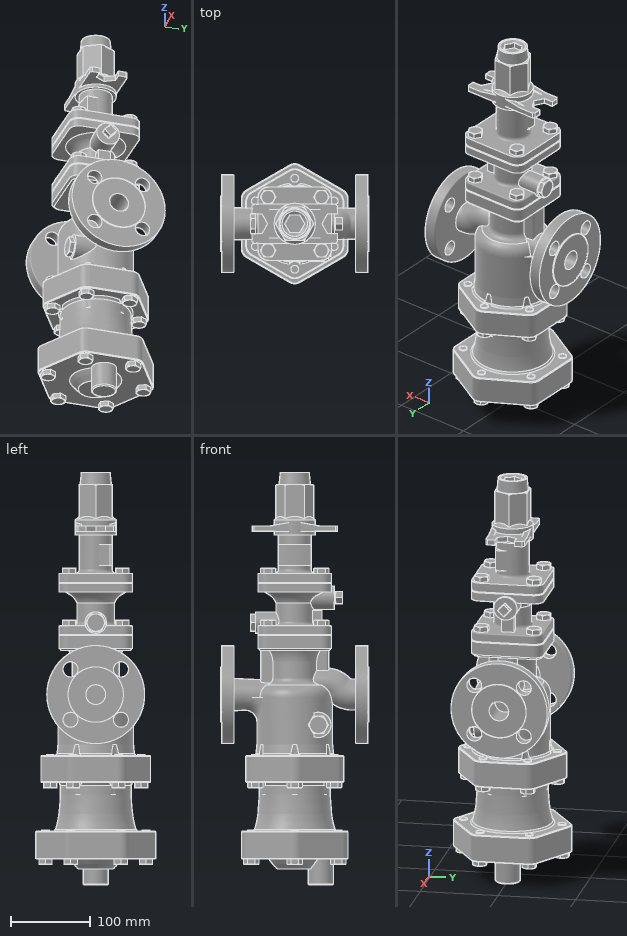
import cadquery as cq
import math


cap_top_z = 281.0
cap_hex_top_z = 265.5
cap_top_diameter = 37.0
cap_base_diameter = 40.0
cap_hex_flats = 42.0
cap_hex_chamfer_diameter = 46.0
cap_hex_chamfer_height = 1.2
socket_flats = 22.0
socket_depth = 10.0
socket_mouth_diameter = 32.0
socket_mouth_depth = 3.0
collar_diameter = 52.0
collar_top_z = 220.7
collar_bottom_z = 201.7
collar_cone_height = 4.5

wrench_length = 108.0
wrench_width = 49.6
wrench_bottom_z = 206.3
wrench_thickness = 6.9
wrench_corner_chamfer = 2.5
jaw_flats = 25.0
jaw_parallel_depth = 12.5
wrench_rib_width = 7.0
wrench_rib_reach = 32.0
wrench_rib_rise = 5.5

stem_diameter = 42.0
plate_half_width = 20.5
plate_side_depth = 18.0
plate_bottom_z = 163.2
plate_top_z = 189.5

square_side = 93.0
square_corner_radius = 13.0
square_bolt_pitch = 67.5
gasket_thickness = 1.2
gasket_inset = 0.4
upper_square_top_z = 153.2
upper_square_joint_z = 141.0
upper_square_bottom_z = 129.5
lower_square_top_z = 87.3
lower_square_joint_z = 75.5
lower_square_bottom_z = 55.5
lower_square_top_fillet = 2.0
lower_square_bottom_chamfer = 3.0
stem_fillet = 5.0

bolt_flats = 17.0
bolt_head_height = 6.8
hex_face_chamfer = 0.8

pilot_neck_radius = 24.0
pilot_neck_top_z = 115.8
pilot_neck_bottom_z = 92.2
pilot_lip_radius = 38.0
pilot_ring_radius = 62.07 / 2
pilot_ring_z = 125.2
pilot_flare_mid_radius = 25.8
pilot_flare_mid_z = 119.5
high_port_z = 122.5
high_port_diameter = 30.0
high_port_end_x = 50.0
high_plug_shank_diameter = 10.0
high_plug_square = 11.3
high_plug_start_x = 51.8
high_plug_end_x = 60.5
low_port_z = 91.0
low_port_diameter = 27.0
low_port_end_x = 49.8
hex_plug_flats = 22.0
hex_plug_height = 6.2
pad_end_x = 34.5
pad_width = 16.0
pad_top_z = 106.3

body_radius = 48.0
body_base_radius = 49.3
body_taper_top_z = -63.4
dome_start_z = -3.7
dome_radius = 18.0
dome_end_angle = math.radians(60)
main_neck_radius = 30.0
main_neck_bottom_z = 20.0
main_neck_flare_z = 41.8
main_neck_flare_radius = 34.0
main_neck_flare_mid_radius = 31.1
shoulder_mid_radius = 32.6
shoulder_mid_z = 14.8
column_inner_x = 25.0
column_outer_x = 43.0
column_half_width = 11.5
column_corner_radius = 3.0
column_bottom_z = 8.0
body_plug_x = 29.8
body_plug_z = -38.3
body_plug_boss_diameter = 32.0
body_plug_boss_y = -41.5

face_to_face = 188.0
raised_face_diameter = 70.0
raised_face_height = 1.5
pipe_flange_diameter = 124.0
pipe_flange_thickness = 16.0
pipe_flange_back_fillet = 2.0
pipe_hole_diameter = 19.0
pipe_bolt_circle = 90.0
bore_diameter = 25.0
bore_depth = 40.0
pipe_stub_length = 3.8
pipe_end_radius = 20.5
inlet_centre_radius = 17.0
inlet_fillet = 14.0
outlet_radius = 19.8
outlet_bend_radius = 24.0
outlet_bend_angle = math.radians(45)
flange_face_x = face_to_face / 2 - raised_face_height
flange_back_x = flange_face_x - pipe_flange_thickness
pipe_start_x = flange_back_x - pipe_stub_length

upper_hex_flats = 124.0
upper_hex_corner_radius = 14.0
upper_hex_top_z = -77.0
upper_hex_joint_z = -94.8
upper_hex_bottom_z = -111.0
upper_hex_bolt_radius = 57.5
lower_hex_flats = 135.0
lower_hex_corner_radius = 12.5
lower_hex_top_z = -172.7
lower_hex_joint_z = -190.7
lower_hex_bottom_z = -208.0
lower_hex_bolt_radius = 63.5
hex_edge_chamfer = 1.0
stud_diameter = 10.0
stud_height = 1.3
body_clearance_radius = 9.8
spool_clearance_radius = 12.9
spool_radius = 45.0
spool_head_depth = 3.8
foot_flare = 2.2
spool_clearance_z = -126.6
spool_middle_radius = 46.8
spool_middle_z = -151.0
spool_foot_radius = 51.0
spool_foot_z = -170.3
spool_foot_hollow = 0.5
bowl_radii = (33.0, 28.0, 22.0)
bowl_middle_z = -214.5
bowl_bottom_z = -220.7
drain_x = 33.0
drain_diameter = 32.0
drain_bottom_z = -241.0
drain_chamfer = 1.5

overlap = 3.0


def cylinder(radius, bottom_z, top_z, x=0.0, y=0.0):
    return cq.Workplane("XY", origin=(x, y, bottom_z)).circle(radius).extrude(top_z - bottom_z)


def x_cylinder(radius, start_x, end_x, z=0.0):
    return cq.Workplane("YZ", origin=(start_x, 0, z)).circle(radius).extrude(end_x - start_x)


def hex_prism(flats, bottom_z, top_z):
    """Hexagon along Z with two corners on the X axis."""
    corners = flats / math.cos(math.pi / 6)
    return cq.Workplane("XY", origin=(0, 0, bottom_z)).polygon(6, corners).extrude(top_z - bottom_z)


def hex_head(flats, height):
    """Hexagon standing on Z = 0 with its top corners turned off to a circular face."""
    corner_radius = flats / math.sqrt(3)
    turned = (
        cq.Workplane("XZ")
        .lineTo(corner_radius, 0)
        .lineTo(corner_radius, height - hex_face_chamfer)
        .lineTo(flats / 2, height)
        .lineTo(0, height)
        .close()
        .revolve(360, (0, 0), (0, 1))
    )
    return hex_prism(flats, 0, height).intersect(turned)


def hex_bolt_points(radius):
    """Six bolt centres, one at each corner of a flange with flats facing +X and -X."""
    angles = [math.radians(30 + 60 * i) for i in range(6)]
    return [(radius * math.cos(a), radius * math.sin(a)) for a in angles]


def make_cap():
    collar = (
        cq.Workplane("XZ")
        .moveTo(0, collar_bottom_z)
        .lineTo(collar_diameter / 2, collar_bottom_z)
        .lineTo(collar_diameter / 2, collar_top_z)
        .lineTo(cap_hex_flats / 2, collar_top_z + collar_cone_height)
        .lineTo(0, collar_top_z + collar_cone_height)
        .close()
        .revolve(360, (0, 0), (0, 1))
    )
    hex_corner = cap_hex_flats / math.sqrt(3)
    hex_envelope = (
        cq.Workplane("XZ")
        .moveTo(0, collar_top_z)
        .lineTo(hex_corner, collar_top_z)
        .lineTo(hex_corner, cap_hex_top_z - cap_hex_chamfer_height)
        .lineTo(cap_hex_chamfer_diameter / 2, cap_hex_top_z)
        .lineTo(0, cap_hex_top_z)
        .close()
        .revolve(360, (0, 0), (0, 1))
    )
    hexagon = hex_prism(cap_hex_flats, collar_top_z, cap_hex_top_z).intersect(hex_envelope)
    nose = (
        cq.Workplane("XY", origin=(0, 0, cap_hex_top_z))
        .circle(cap_base_diameter / 2)
        .workplane(offset=cap_top_z - cap_hex_top_z)
        .circle(cap_top_diameter / 2)
        .loft()
    )
    mouth = (
        cq.Workplane("XY", origin=(0, 0, cap_top_z))
        .circle(socket_mouth_diameter / 2)
        .workplane(offset=-socket_mouth_depth)
        .circle(socket_flats / 2)
        .loft()
    )
    socket = hex_prism(socket_flats, cap_top_z - socket_depth, cap_top_z).union(mouth)
    return collar.union(hexagon).union(nose).cut(socket)


def make_wrench():
    """Flat double-ended wrench with V-bottomed jaws and a peaked rib along each side."""
    wrench = (
        cq.Workplane("XY", origin=(0, 0, wrench_bottom_z))
        .rect(wrench_length, wrench_width)
        .extrude(wrench_thickness)
        .edges("|Z")
        .chamfer(wrench_corner_chamfer)
    )
    jaw_half = jaw_flats / 2
    jaw_bottom_x = wrench_length / 2 - jaw_parallel_depth
    jaw_point_x = jaw_bottom_x - jaw_half * math.tan(math.pi / 6)
    jaw = (
        cq.Workplane("XY", origin=(0, 0, wrench_bottom_z))
        .moveTo(wrench_length / 2, -jaw_half)
        .lineTo(jaw_bottom_x, -jaw_half)
        .lineTo(jaw_point_x, 0)
        .lineTo(jaw_bottom_x, jaw_half)
        .lineTo(wrench_length / 2, jaw_half)
        .close()
        .extrude(wrench_thickness)
    )
    wrench = wrench.cut(jaw).cut(jaw.mirror("YZ"))
    wrench_top_z = wrench_bottom_z + wrench_thickness
    rib = (
        cq.Workplane("XZ", origin=(0, -wrench_width / 2 + wrench_rib_width, 0))
        .moveTo(-wrench_rib_reach, wrench_top_z)
        .lineTo(0, wrench_top_z + wrench_rib_rise)
        .lineTo(wrench_rib_reach, wrench_top_z)
        .close()
        .extrude(wrench_rib_width)
    )
    return wrench.union(rib).union(rib.mirror("XZ"))


def make_stem():
    """Round stem flaring into the upper flange, with a curved name plate on its -Y side."""
    radius = stem_diameter / 2
    sag = stem_fillet * (1 - math.sqrt(0.5))
    stem = (
        cq.Workplane("XZ")
        .moveTo(0, upper_square_top_z)
        .lineTo(radius + stem_fillet, upper_square_top_z)
        .threePointArc((radius + sag, upper_square_top_z + sag), (radius, upper_square_top_z + stem_fillet))
        .lineTo(radius, collar_bottom_z)
        .lineTo(0, collar_bottom_z)
        .close()
        .revolve(360, (0, 0), (0, 1))
    )
    plate = (
        cq.Workplane("XY", origin=(0, 0, plate_bottom_z))
        .moveTo(-plate_half_width, 0)
        .lineTo(-plate_half_width, -plate_side_depth)
        .threePointArc((0, -radius), (plate_half_width, -plate_side_depth))
        .lineTo(plate_half_width, 0)
        .close()
        .extrude(plate_top_z - plate_bottom_z)
    )
    return stem.union(plate)


def square_plate(bottom_z, top_z, inset=0.0):
    side = square_side - 2 * inset
    plate = cq.Workplane("XY", origin=(0, 0, bottom_z)).rect(side, side).extrude(top_z - bottom_z)
    return plate.edges("|Z").fillet(square_corner_radius - inset)


def square_joint(upper_plate, lower_plate, joint_z, top_z):
    """Two bolted square plates with a thin gasket between them."""
    gasket = square_plate(joint_z - gasket_thickness / 2, joint_z + gasket_thickness / 2, gasket_inset)
    joint = upper_plate.union(gasket).union(lower_plate)
    half_pitch = square_bolt_pitch / 2
    for x in (-half_pitch, half_pitch):
        for y in (-half_pitch, half_pitch):
            joint = joint.union(hex_head(bolt_flats, bolt_head_height).translate((x, y, top_z)))
    return joint


def make_square_joints():
    half_gap = gasket_thickness / 2
    upper = square_joint(
        square_plate(upper_square_joint_z + half_gap, upper_square_top_z),
        square_plate(upper_square_bottom_z, upper_square_joint_z - half_gap),
        upper_square_joint_z,
        upper_square_top_z,
    )
    lower_cover = square_plate(lower_square_joint_z + half_gap, lower_square_top_z)
    lower_seat = square_plate(lower_square_bottom_z, lower_square_joint_z - half_gap)
    lower = square_joint(
        lower_cover.faces(">Z").edges().fillet(lower_square_top_fillet),
        lower_seat.faces("<Z").edges().chamfer(lower_square_bottom_chamfer),
        lower_square_joint_z,
        lower_square_top_z,
    )
    return upper.union(lower)


def make_pilot_neck():
    foot = pilot_neck_bottom_z - lower_square_top_z
    sag = foot * (1 - math.sqrt(0.5))
    foot_mid = (pilot_neck_radius + sag, lower_square_top_z + sag)
    flare_mid = (pilot_flare_mid_radius, pilot_flare_mid_z)
    return (
        cq.Workplane("XZ")
        .moveTo(0, lower_square_top_z)
        .lineTo(pilot_neck_radius + foot, lower_square_top_z)
        .threePointArc(foot_mid, (pilot_neck_radius, pilot_neck_bottom_z))
        .lineTo(pilot_neck_radius, pilot_neck_top_z)
        .threePointArc(flare_mid, (pilot_ring_radius, pilot_ring_z))
        .lineTo(pilot_lip_radius, upper_square_bottom_z)
        .lineTo(0, upper_square_bottom_z)
        .close()
        .revolve(360, (0, 0), (0, 1))
    )


def make_pilot_ports():
    """High plugged port on +X, low plugged port on -X with a plain block opposite."""
    high = x_cylinder(high_port_diameter / 2, 0, high_port_end_x, high_port_z)
    shank = x_cylinder(high_plug_shank_diameter / 2, high_port_end_x, high_plug_start_x, high_port_z)
    square = (
        cq.Workplane("YZ", origin=(high_plug_start_x, 0, high_port_z))
        .transformed(rotate=(0, 0, 45))
        .rect(high_plug_square, high_plug_square)
        .extrude(high_plug_end_x - high_plug_start_x)
    )
    low = x_cylinder(low_port_diameter / 2, -low_port_end_x, 0, low_port_z)
    plug = hex_head(hex_plug_flats, hex_plug_height).rotate((0, 0, 0), (0, 0, 1), 90)
    plug = plug.rotate((0, 0, 0), (0, 1, 0), -90).translate((-low_port_end_x, 0, low_port_z))
    pad_height = pad_top_z - lower_square_top_z
    pad = (
        cq.Workplane("XY", origin=(pad_end_x / 2, 0, lower_square_top_z))
        .rect(pad_end_x, pad_width)
        .extrude(pad_height)
    )
    return high.union(shank).union(square).union(low).union(plug).union(pad)


def make_body():
    dome_x = body_radius - dome_radius

    def dome_point(angle):
        return (dome_x + dome_radius * math.cos(angle), dome_start_z + dome_radius * math.sin(angle))

    dome_end = dome_point(dome_end_angle)
    neck_start = (main_neck_radius, main_neck_bottom_z)
    shoulder_mid = (shoulder_mid_radius, shoulder_mid_z)
    flare_mid = (main_neck_flare_mid_radius, (main_neck_flare_z + lower_square_bottom_z) / 2)
    body = (
        cq.Workplane("XZ")
        .moveTo(0, upper_hex_top_z)
        .lineTo(body_base_radius + foot_flare, upper_hex_top_z)
        .lineTo(body_base_radius, upper_hex_top_z + foot_flare)
        .lineTo(body_radius, body_taper_top_z)
        .lineTo(body_radius, dome_start_z)
        .threePointArc(dome_point(dome_end_angle / 2), dome_end)
        .threePointArc(shoulder_mid, neck_start)
        .lineTo(main_neck_radius, main_neck_flare_z)
        .threePointArc(flare_mid, (main_neck_flare_radius, lower_square_bottom_z))
        .lineTo(0, lower_square_bottom_z)
        .close()
        .revolve(360, (0, 0), (0, 1))
    )
    for x, y in hex_bolt_points(upper_hex_bolt_radius):
        body = body.cut(cylinder(body_clearance_radius, upper_hex_top_z, body_taper_top_z, x, y))
    return body


def make_columns():
    """Rounded passages on both sides of the main neck, below the lower square flange."""
    column = (
        cq.Workplane("XY", origin=((column_inner_x + column_outer_x) / 2, 0, column_bottom_z))
        .rect(column_outer_x - column_inner_x, 2 * column_half_width)
        .extrude(lower_square_bottom_z - column_bottom_z)
        .edges("|Z and >X")
        .fillet(column_corner_radius)
    )
    return column.union(column.mirror("YZ"))


def make_body_plug():
    boss = (
        cq.Workplane("XZ", origin=(body_plug_x, 0, body_plug_z))
        .circle(body_plug_boss_diameter / 2)
        .extrude(-body_plug_boss_y)
    )
    plug = hex_head(hex_plug_flats, hex_plug_height).rotate((0, 0, 0), (1, 0, 0), 90)
    return boss.union(plug.translate((body_plug_x, body_plug_boss_y, body_plug_z)))


def make_pipe_flange():
    """Outlet flange on +X with a raised face."""
    flange = x_cylinder(pipe_flange_diameter / 2, flange_back_x, flange_face_x)
    flange = flange.faces("<X").edges().fillet(pipe_flange_back_fillet)
    flange = flange.union(x_cylinder(raised_face_diameter / 2, flange_face_x, face_to_face / 2))
    offset = pipe_bolt_circle / 2 * math.sqrt(0.5)
    for y in (-offset, offset):
        for z in (-offset, offset):
            hole = x_cylinder(pipe_hole_diameter / 2, flange_back_x, flange_face_x, z).translate((0, y, 0))
            flange = flange.cut(hole)
    return flange


def make_inlet_pipe():
    """Slightly tapered inlet pipe, blended into the body's cylinder below the dome."""
    pipe = (
        cq.Workplane("YZ", origin=(-pipe_start_x, 0, 0))
        .circle(pipe_end_radius)
        .workplane(offset=pipe_start_x)
        .circle(inlet_centre_radius)
        .loft()
    )
    pipe = pipe.union(x_cylinder(pipe_end_radius, -flange_back_x, -pipe_start_x))
    barrel = cylinder(body_radius, -body_radius, body_radius)
    seam_box = cq.selectors.BoxSelector(
        (-body_radius - overlap, -pipe_end_radius, -pipe_end_radius),
        (-body_radius / 2, pipe_end_radius, pipe_end_radius),
    )
    blend = barrel.union(pipe).edges(seam_box).fillet(inlet_fillet)
    below_dome = cylinder(pipe_start_x, -body_radius, dome_start_z)
    return pipe.union(blend.intersect(below_dome))


def make_outlet_pipe():
    """Outlet pipe that rises from the flange in an S-bend and runs level into the main neck."""
    half_run = outlet_bend_radius * math.sin(outlet_bend_angle)
    half_rise = outlet_bend_radius * (1 - math.cos(outlet_bend_angle))
    quarter_run = outlet_bend_radius * math.sin(outlet_bend_angle / 2)
    quarter_rise = outlet_bend_radius * (1 - math.cos(outlet_bend_angle / 2))
    level_x = pipe_start_x - 2 * half_run
    level_z = 2 * half_rise
    path = (
        cq.Workplane("XZ")
        .moveTo(flange_face_x, 0)
        .lineTo(pipe_start_x, 0)
        .threePointArc((pipe_start_x - quarter_run, quarter_rise), (pipe_start_x - half_run, half_rise))
        .threePointArc((level_x + quarter_run, level_z - quarter_rise), (level_x, level_z))
        .lineTo(0, level_z)
    )
    return cq.Workplane("YZ", origin=(flange_face_x, 0, 0)).circle(outlet_radius).sweep(path)


def hex_plate(flats, corner_radius, bottom_z, top_z):
    """Hexagonal plate with rounded corners and flats facing +X and -X."""
    plate = hex_prism(flats, bottom_z, top_z).rotate((0, 0, 0), (0, 0, 1), 30)
    return plate.edges("|Z").fillet(corner_radius)


def make_hex_joint(flats, corner_radius, top_z, joint_z, bottom_z, bolt_radius):
    """Two hexagonal plates with bolt heads below and stud ends above."""
    upper = hex_plate(flats, corner_radius, joint_z, top_z).faces(">Z").edges().chamfer(hex_edge_chamfer)
    lower = hex_plate(flats, corner_radius, bottom_z, joint_z).faces("<Z").edges().chamfer(hex_edge_chamfer)
    joint = upper.union(lower, clean=False)
    head = hex_head(bolt_flats, bolt_head_height).mirror("XY")
    for x, y in hex_bolt_points(bolt_radius):
        joint = joint.union(head.translate((x, y, bottom_z)), clean=False)
        stud = cylinder(stud_diameter / 2, top_z - overlap, top_z + stud_height, x, y)
        joint = joint.union(stud, clean=False)
    return joint


def make_spool():
    """Flared spool between the two hexagonal flanges."""
    foot_mid = (
        (spool_foot_radius + spool_middle_radius) / 2 - spool_foot_hollow,
        (spool_foot_z + spool_middle_z) / 2,
    )
    spool = (
        cq.Workplane("XZ")
        .moveTo(0, lower_hex_top_z)
        .lineTo(spool_foot_radius + foot_flare, lower_hex_top_z)
        .lineTo(spool_foot_radius, spool_foot_z)
        .threePointArc(foot_mid, (spool_middle_radius, spool_middle_z))
        .lineTo(spool_radius, spool_clearance_z)
        .lineTo(spool_radius, upper_hex_bottom_z - spool_head_depth)
        .lineTo(spool_radius + foot_flare, upper_hex_bottom_z)
        .lineTo(0, upper_hex_bottom_z)
        .close()
        .revolve(360, (0, 0), (0, 1))
    )
    for x, y in hex_bolt_points(upper_hex_bolt_radius):
        spool = spool.cut(cylinder(spool_clearance_radius, spool_clearance_z, upper_hex_bottom_z, x, y))
    return spool


def make_cover():
    """Bowl under the lower flange with the drain pipe beside its centre."""
    top_radius, middle_radius, bottom_radius = bowl_radii
    bowl = (
        cq.Workplane("XZ")
        .moveTo(0, lower_hex_bottom_z)
        .lineTo(top_radius, lower_hex_bottom_z)
        .lineTo(middle_radius, bowl_middle_z)
        .lineTo(bottom_radius, bowl_bottom_z)
        .lineTo(0, bowl_bottom_z)
        .close()
        .revolve(360, (0, 0), (0, 1))
    )
    drain = cylinder(drain_diameter / 2, drain_bottom_z, lower_hex_bottom_z, drain_x)
    return bowl.union(drain.faces("<Z").chamfer(drain_chamfer))


def make_bore():
    return x_cylinder(bore_diameter / 2, face_to_face / 2 - bore_depth, face_to_face / 2)


result = make_body().union(make_inlet_pipe())
flange = make_pipe_flange()
bore = make_bore()
parts = [
    make_columns(),
    make_body_plug(),
    make_outlet_pipe(),
    flange,
    flange.mirror("YZ"),
    make_square_joints(),
    make_pilot_neck(),
    make_pilot_ports(),
    make_stem(),
    make_cap(),
    make_wrench(),
    make_hex_joint(
        upper_hex_flats,
        upper_hex_corner_radius,
        upper_hex_top_z,
        upper_hex_joint_z,
        upper_hex_bottom_z,
        upper_hex_bolt_radius,
    ),
    make_spool(),
    make_hex_joint(
        lower_hex_flats,
        lower_hex_corner_radius,
        lower_hex_top_z,
        lower_hex_joint_z,
        lower_hex_bottom_z,
        lower_hex_bolt_radius,
    ),
    make_cover(),
]
for part in parts:
    result = result.union(part, clean=False)
result = result.cut(bore, clean=False).cut(bore.mirror("YZ"), clean=False)